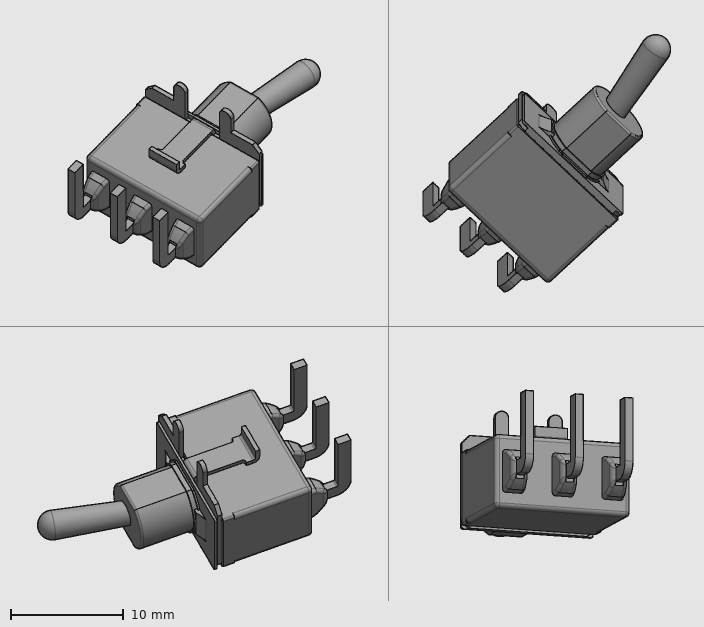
import cadquery as cq
import math


body_width = 12.7
body_height = 6.65
body_length = 8.85
body_round = 0.4
body_lip_length = 1.2
body_lip_round = 0.177
body_front_chamfer = 0.1

bracket_thickness = 0.44
bracket_half_width = 6.3
bracket_half_height = 3.5
bracket_top_chamfer = 0.73
bracket_bottom_chamfer = 0.75
shoulder_z = 4.87
tab_top_z = 7.27
tab_inner_x = 1.9
tab_width = 1.25
slot_floor_z = 3.0

tongue_half_width = 1.12
tongue_thickness = 0.4
tongue_end_y = -5.85
tongue_bend_radius = 0.25
tongue_head_half_width = 1.52
tongue_head_start_y = -4.55
tongue_neck_round = 0.25

cover_thickness = 0.25
cover_width = 12.4
cover_corner_round = 0.22
bushing_radius = 3.08
bushing_flat_z = 2.67
bushing_end_y = 6.35
bushing_edge_round = 0.2
base_collar_radius = 3.43
base_collar_flat_z = 2.89
base_collar_top_y = 0.85
key_bottom_z = -3.32
upper_collar_radius = 3.25
upper_collar_flat_z = 2.8
upper_collar_top_y = 1.3
wing_half_height = 1.52
wing_reach = 4.35
wing_top_y = 1.15
wing_sag = 0.05

lever_tilt = 12.7
pivot_y = 4.38
lever_tip_y = 14.1
ball_radius = 1.33
lever_root_radius = 1.15

overall_length = 27.22
terminal_pitch = 4.68
terminal_width = 0.75
terminal_depth = 1.25
terminal_top_z = 6.5
terminal_outer_bend = 1.42
terminal_inner_bend = 0.15
boss_end_y = -10.8
boss_taper_end_y = -9.55
boss_round_start_y = -10.2
boss_base_half_width = 1.0
boss_neck_half_width = 0.8
boss_tip_half_width = 0.4
boss_tip_round = 0.82
boss_base_half_height = 1.93
boss_neck_half_height = 1.77
boss_tip_half_height = 0.68
boss_arc_middle_y = -10.4
boss_arc_middle_z = 1.12
boss_edge_round = 0.33
boss_slot_floor_y = -10.55

body_top_z = body_height / 2
cover_back_y = bracket_thickness
cover_front_y = cover_back_y + cover_thickness
terminal_end_y = lever_tip_y - overall_length


def box(x_range, y_range, z_range):
    """Box given by its limits on each axis."""
    sizes = [high - low for low, high in (x_range, y_range, z_range)]
    corner = (x_range[0], y_range[0], z_range[0])
    return cq.Workplane("XY").box(*sizes, centered=False).translate(corner)


def along_y(y_start):
    """Workplane facing +Y; its local x is -X, its local y is Z."""
    return cq.Workplane("XZ", origin=(0, y_start, 0)).transformed(rotate=(0, 180, 0))


def flatted_cylinder(radius, flat_z, y_start, y_end):
    """Cylinder along Y with flats on its top and bottom."""
    cylinder = along_y(y_start).circle(radius).extrude(y_end - y_start)
    flats = box((-radius, radius), (y_start, y_end), (-flat_z, flat_z))
    return cylinder.intersect(flats)


def make_body():
    half_width = body_width / 2
    main = box((-half_width, half_width), (-body_length, -body_lip_length), (-body_top_z, body_top_z))
    main = main.edges("|Y or <Y").fillet(body_round)
    lip = box((-half_width, half_width), (-body_lip_length, 0), (-body_top_z, body_top_z))
    lip = lip.edges("|Y").fillet(body_lip_round)
    lip = lip.faces(">Y").chamfer(body_front_chamfer)
    return main.union(lip)


def make_bracket():
    chamfer_x = bracket_half_width - bracket_top_chamfer
    bottom_x = bracket_half_width - bracket_bottom_chamfer
    tab_outer_x = tab_inner_x + tab_width
    tab_round_z = tab_top_z - tab_width / 2
    tab_middle_x = tab_inner_x + tab_width / 2
    half = (
        along_y(0)
        .moveTo(0, -bracket_half_height)
        .lineTo(bottom_x, -bracket_half_height)
        .lineTo(bracket_half_width, bracket_bottom_chamfer - bracket_half_height)
        .lineTo(bracket_half_width, shoulder_z - bracket_top_chamfer)
        .lineTo(chamfer_x, shoulder_z)
        .lineTo(tab_outer_x, shoulder_z)
        .lineTo(tab_outer_x, tab_round_z)
        .threePointArc((tab_middle_x, tab_top_z), (tab_inner_x, tab_round_z))
        .lineTo(tab_inner_x, slot_floor_z)
        .lineTo(0, slot_floor_z)
        .close()
        .extrude(bracket_thickness)
    )
    return half.union(half.mirror("YZ"))


def make_tongue():
    """Strip that bends back over the housing and up again at its widened end."""
    outer_bend = tongue_bend_radius + tongue_thickness
    top_z = body_top_z + tongue_thickness
    strip = (
        cq.Workplane("YZ", origin=(-tongue_head_half_width, 0, 0))
        .moveTo(bracket_thickness, slot_floor_z)
        .lineTo(bracket_thickness, body_top_z)
        .radiusArc((bracket_thickness - tongue_thickness, top_z), -tongue_thickness)
        .lineTo(tongue_end_y + outer_bend, top_z)
        .radiusArc((tongue_end_y + tongue_thickness, top_z + tongue_bend_radius), tongue_bend_radius)
        .lineTo(tongue_end_y + tongue_thickness, shoulder_z)
        .lineTo(tongue_end_y, shoulder_z)
        .lineTo(tongue_end_y, body_top_z + outer_bend)
        .radiusArc((tongue_end_y + outer_bend, body_top_z), -outer_bend)
        .lineTo(0, body_top_z)
        .lineTo(0, slot_floor_z)
        .close()
        .extrude(2 * tongue_head_half_width)
    )
    neck_y = tongue_head_start_y + tongue_neck_round
    for side in (-1, 1):
        neck_x = side * tongue_half_width
        trim = (
            cq.Workplane("XY", origin=(0, 0, slot_floor_z))
            .moveTo(neck_x, bracket_thickness)
            .lineTo(neck_x, neck_y)
            .radiusArc((neck_x + side * tongue_neck_round, tongue_head_start_y), -side * tongue_neck_round)
            .lineTo(side * tongue_head_half_width, tongue_head_start_y)
            .lineTo(side * tongue_head_half_width, bracket_thickness)
            .close()
            .extrude(shoulder_z - slot_floor_z)
        )
        strip = strip.cut(trim)
    return strip


def make_cover():
    cover = (
        along_y(cover_back_y)
        .rect(cover_width, 2 * bracket_half_height)
        .extrude(cover_thickness)
    )
    return cover.edges("|Y").fillet(cover_corner_round)


def make_bushing():
    bushing = flatted_cylinder(bushing_radius, bushing_flat_z, upper_collar_top_y, bushing_end_y)
    bushing = bushing.edges(">Y").fillet(bushing_edge_round)
    base = flatted_cylinder(base_collar_radius, base_collar_flat_z, cover_front_y, base_collar_top_y)
    upper = flatted_cylinder(upper_collar_radius, upper_collar_flat_z, base_collar_top_y, upper_collar_top_y)

    flat_half_width = math.sqrt(bushing_radius**2 - bushing_flat_z**2)
    key = box((-flat_half_width, flat_half_width), (cover_front_y, base_collar_top_y), (key_bottom_z, 0))

    middle_x = (upper_collar_radius + wing_reach) / 2
    middle_y = (wing_top_y + cover_front_y) / 2 - wing_sag
    wings = (
        cq.Workplane("XY", origin=(0, 0, -wing_half_height))
        .moveTo(-wing_reach, cover_front_y)
        .lineTo(wing_reach, cover_front_y)
        .threePointArc((middle_x, middle_y), (upper_collar_radius, wing_top_y))
        .lineTo(-upper_collar_radius, wing_top_y)
        .threePointArc((-middle_x, middle_y), (-wing_reach, cover_front_y))
        .close()
        .extrude(2 * wing_half_height)
    )
    return bushing.union(base).union(upper).union(key).union(wings)


def make_lever():
    """Tapered round bat with a ball end, turned about its pivot inside the bushing."""
    tilt = math.radians(lever_tilt)
    ball_distance = (lever_tip_y - ball_radius - pivot_y) / math.cos(tilt)
    root_distance = (bushing_end_y - pivot_y) / math.cos(tilt)
    taper = (ball_radius - lever_root_radius) / (ball_distance - root_distance)
    pivot_radius = lever_root_radius - taper * root_distance
    corner = ball_radius / math.sqrt(2)
    lever = (
        cq.Workplane("XY")
        .lineTo(pivot_radius, 0)
        .lineTo(ball_radius, ball_distance)
        .threePointArc((corner, ball_distance + corner), (0, ball_distance + ball_radius))
        .close()
        .revolve(360, (0, 0, 0), (0, 1, 0))
    )
    return lever.rotate((0, 0, 0), (0, 0, 1), -lever_tilt).translate((0, pivot_y, 0))


def make_boss():
    """Potting boss that narrows to a rounded end, slotted across the end where the terminal leaves it."""
    base_y = -body_length
    side = (
        cq.Workplane("YZ", origin=(-boss_base_half_width, 0, 0))
        .moveTo(base_y, -boss_base_half_height)
        .lineTo(boss_taper_end_y, -boss_neck_half_height)
        .threePointArc((boss_arc_middle_y, -boss_arc_middle_z), (boss_end_y, -boss_tip_half_height))
        .lineTo(boss_end_y, boss_tip_half_height)
        .threePointArc((boss_arc_middle_y, boss_arc_middle_z), (boss_taper_end_y, boss_neck_half_height))
        .lineTo(base_y, boss_base_half_height)
        .close()
        .extrude(2 * boss_base_half_width)
    )
    plan = (
        cq.Workplane("XY", origin=(0, 0, -boss_base_half_height))
        .moveTo(-boss_base_half_width, base_y)
        .lineTo(-boss_neck_half_width, boss_round_start_y)
        .radiusArc((-boss_tip_half_width, boss_end_y), -boss_tip_round)
        .lineTo(boss_tip_half_width, boss_end_y)
        .radiusArc((boss_neck_half_width, boss_round_start_y), -boss_tip_round)
        .lineTo(boss_base_half_width, base_y)
        .close()
        .extrude(2 * boss_base_half_height)
    )
    boss = side.intersect(plan)
    boss = boss.edges("not (#Y or |X or |Z)").fillet(boss_edge_round)
    half_slot = terminal_width / 2
    slot = box(
        (-half_slot, half_slot),
        (boss_end_y, boss_slot_floor_y),
        (-boss_base_half_height, boss_base_half_height),
    )
    return boss.cut(slot)


def make_terminal():
    """L-shaped pin: straight back out of the housing, then up."""
    half_depth = terminal_depth / 2
    pin = (
        cq.Workplane("YZ", origin=(-terminal_width / 2, 0, 0))
        .moveTo(-body_length, -half_depth)
        .lineTo(terminal_end_y, -half_depth)
        .lineTo(terminal_end_y, terminal_top_z)
        .lineTo(terminal_end_y + terminal_depth, terminal_top_z)
        .lineTo(terminal_end_y + terminal_depth, half_depth)
        .lineTo(-body_length, half_depth)
        .close()
        .extrude(terminal_width)
    )
    pin = pin.edges("|X and <Y and <Z").fillet(terminal_outer_bend)
    inner_corner = cq.selectors.NearestToPointSelector((0, terminal_end_y + terminal_depth, half_depth))
    return pin.edges(inner_corner).fillet(terminal_inner_bend)


boss = make_boss()
terminal = boss.union(make_terminal())

result = make_body()
for feature in (make_bracket(), make_tongue(), make_cover(), make_bushing(), make_lever()):
    result = result.union(feature)
for position in (-1, 0, 1):
    result = result.union(terminal.translate((position * terminal_pitch, 0, 0)))